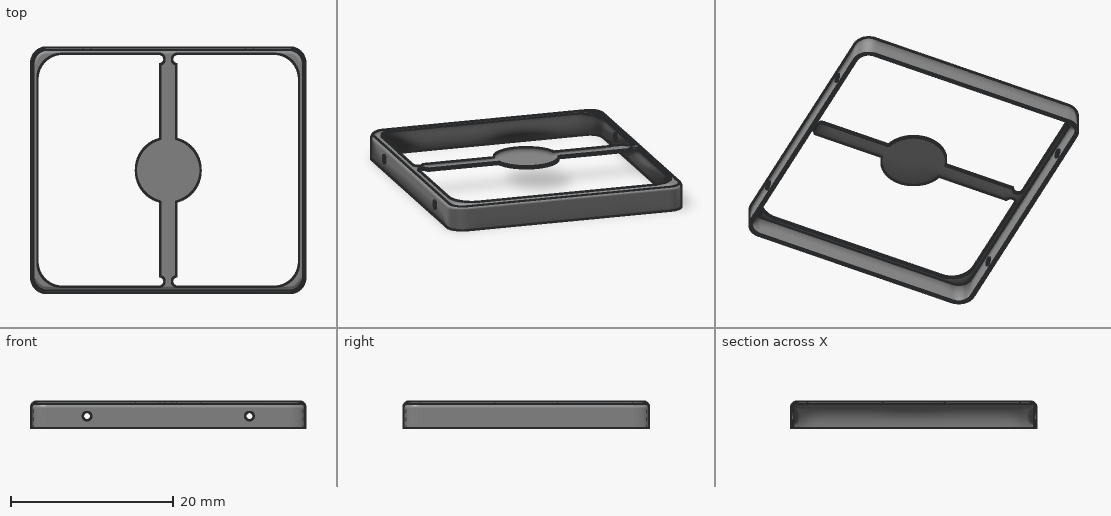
import cadquery as cq

LENGTH = 33.8
WIDTH = 30.3
HEIGHT = 3.3
WALL = 0.3
OUTER_CORNER_RADIUS = 2.0
TOP_EDGE_RADIUS = 0.8

LIP_WIDTH = 0.8
LIP_CORNER_RADIUS = 3.0
PLATE_THICKNESS = 0.3

HOLE_DIAMETER = 1.0
HOLE_SPACING = 20.0
HOLE_HEIGHT = 1.5

DISC_DIAMETER = 8.0
STRAP_WIDTH = 2.0
NECK_WIDTH = 0.95
NOTCH_RADIUS = 0.65

PLATE_BOTTOM = HEIGHT - PLATE_THICKNESS
LIP_OPENING_WIDTH = WIDTH - 2 * LIP_WIDTH


def rounded_block(inset, corner_radius, height):
    """Block standing on Z = 0, inset from the frame outline, with rounded vertical edges."""
    block = cq.Workplane("XY").box(
        LENGTH - 2 * inset, WIDTH - 2 * inset, height, centered=(True, True, False)
    )
    return block.edges("|Z").fillet(corner_radius)


def make_frame():
    """Thin-walled ring with a rounded outer top edge and an inward lip."""
    body = rounded_block(0, OUTER_CORNER_RADIUS, HEIGHT)
    body = body.faces(">Z").edges().fillet(TOP_EDGE_RADIUS)
    cavity = rounded_block(WALL, OUTER_CORNER_RADIUS - WALL, PLATE_BOTTOM)
    lip_opening = rounded_block(LIP_WIDTH, LIP_CORNER_RADIUS, HEIGHT)
    return body.cut(cavity).cut(lip_opening)


def make_pin_holes():
    """Two cylinders along Y, each crossing both long walls."""
    return (
        cq.Workplane("XZ")
        .pushPoints([(side * HOLE_SPACING / 2, HOLE_HEIGHT) for side in (-1, 1)])
        .circle(HOLE_DIAMETER / 2)
        .extrude(WIDTH / 2, both=True)
    )


def make_strap():
    """Thin strap with a central disc, necked by round notches beside the lip."""
    plane = cq.Workplane("XY", origin=(0, 0, PLATE_BOTTOM))
    strap = plane.rect(STRAP_WIDTH, LIP_OPENING_WIDTH).extrude(PLATE_THICKNESS)
    notch_spacing_x = NECK_WIDTH + 2 * NOTCH_RADIUS
    notch_spacing_y = LIP_OPENING_WIDTH - 2 * NOTCH_RADIUS
    notches = (
        plane.rect(notch_spacing_x, notch_spacing_y, forConstruction=True)
        .vertices()
        .circle(NOTCH_RADIUS)
        .extrude(PLATE_THICKNESS)
    )
    disc = plane.circle(DISC_DIAMETER / 2).extrude(PLATE_THICKNESS)
    return strap.cut(notches).union(disc)


result = make_frame().cut(make_pin_holes()).union(make_strap())